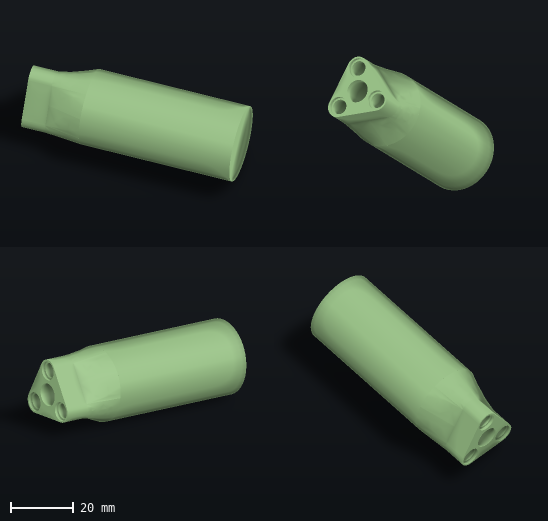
import cadquery as cq
import math

TOTAL_LENGTH = 70.8
BARREL_DIAMETER = 25.0
NOSE_LENGTH = 8.0
HEAD_LENGTH = 20.0

CORNER_COUNT = 3
CORNER_PITCH = 360.0 / CORNER_COUNT
FIRST_CORNER_ANGLE = 90.0
CORNER_CIRCLE_RADIUS = 8.0
CORNER_RADIUS = 3.7
HALF_SIDE = CORNER_CIRCLE_RADIUS * math.sin(math.radians(CORNER_PITCH / 2))
SIDE_DISTANCE = CORNER_CIRCLE_RADIUS * math.cos(math.radians(CORNER_PITCH / 2)) + CORNER_RADIUS

CENTRE_BORE_DIAMETER = 7.5
CORNER_BORE_DIAMETER = 4.9
COUNTERBORE_DIAMETER = 6.2
COUNTERBORE_DEPTH = 1.0


def plane_at(x):
    """Plane across the axis at x, with local x along +Y and local y along +Z."""
    return cq.Workplane("YZ", origin=(x, 0, 0))


def polar(radius, angle, centre=(0, 0)):
    """Point at the radius from the centre, the angle in degrees measured from +Y towards +Z."""
    turn = math.radians(angle)
    return centre[0] + radius * math.cos(turn), centre[1] + radius * math.sin(turn)


CORNER_ANGLES = [FIRST_CORNER_ANGLE + i * CORNER_PITCH for i in range(CORNER_COUNT)]
CORNER_CENTRES = [polar(CORNER_CIRCLE_RADIUS, angle) for angle in CORNER_ANGLES]
OUTLINE_START_ANGLE = FIRST_CORNER_ANGLE - CORNER_PITCH / 2


def draw_nose_outline(plane):
    """Rounded triangle with a vertex at the middle of each flat side."""
    outline = plane.moveTo(*polar(SIDE_DISTANCE, OUTLINE_START_ANGLE))
    for angle, centre in zip(CORNER_ANGLES, CORNER_CENTRES):
        outline = outline.lineTo(*polar(CORNER_RADIUS, angle - CORNER_PITCH / 2, centre))
        outline = outline.threePointArc(
            polar(CORNER_RADIUS, angle, centre),
            polar(CORNER_RADIUS, angle + CORNER_PITCH / 2, centre),
        )
        if angle != CORNER_ANGLES[-1]:
            outline = outline.lineTo(*polar(SIDE_DISTANCE, angle + CORNER_PITCH / 2))
    return outline.close()


def draw_barrel_outline(plane):
    """Barrel circle in arcs that pair with the nose edges, in proportion to their lengths."""
    radius = BARREL_DIAMETER / 2
    round_length = CORNER_RADIUS * math.radians(CORNER_PITCH)
    round_angle = CORNER_PITCH * round_length / (round_length + 2 * HALF_SIDE)
    side_angle = (CORNER_PITCH - round_angle) / 2

    angle = OUTLINE_START_ANGLE
    outline = plane.moveTo(*polar(radius, angle))
    for step in [side_angle, round_angle, side_angle] * CORNER_COUNT:
        outline = outline.threePointArc(polar(radius, angle + step / 2), polar(radius, angle + step))
        angle += step
    return outline.close()


def drill(body, centres, diameter, depth):
    """Cut round bores of the given depth into the nose face."""
    bores = plane_at(0).pushPoints(centres).circle(diameter / 2).extrude(depth)
    return body.cut(bores)


def make_head():
    """Triangular nose that blends into the round barrel, with its four bores."""
    nose = draw_nose_outline(plane_at(0)).extrude(NOSE_LENGTH)
    blend_start = draw_nose_outline(plane_at(NOSE_LENGTH))
    blend_end = draw_barrel_outline(blend_start.workplane(offset=HEAD_LENGTH - NOSE_LENGTH))
    blend = blend_end.loft(ruled=True, combine=False)
    body = nose.union(blend)

    body = drill(body, [(0, 0)], CENTRE_BORE_DIAMETER, HEAD_LENGTH)
    body = drill(body, CORNER_CENTRES, CORNER_BORE_DIAMETER, HEAD_LENGTH)
    return drill(body, CORNER_CENTRES, COUNTERBORE_DIAMETER, COUNTERBORE_DEPTH)


def make_barrel():
    """Plain round barrel behind the head."""
    return plane_at(HEAD_LENGTH).circle(BARREL_DIAMETER / 2).extrude(TOTAL_LENGTH - HEAD_LENGTH)


head = make_head()
barrel = make_barrel()

result = cq.Compound.makeCompound([head.solids().val(), barrel.val()])